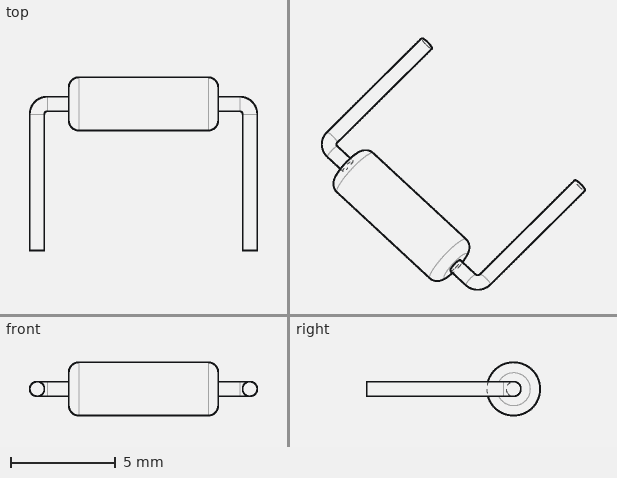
import cadquery as cq

span_x = 10.86
span_y = 8.28

body_diameter = 2.55
body_length = 7.14
body_edge_radius = 0.49

wire_diameter = 0.71
bend_radius = 0.49

body_radius = body_diameter / 2
wire_radius = wire_diameter / 2
leg_x = span_x / 2 - wire_radius
leg_end_y = body_radius - span_y
bend_start_x = leg_x - bend_radius


def make_body():
    """Cylinder centred on the origin with both end edges rounded."""
    left_end = cq.Workplane("YZ", origin=(-body_length / 2, 0, 0))
    cylinder = left_end.circle(body_radius).extrude(body_length)
    return cylinder.faces("<X or >X").edges().fillet(body_edge_radius)


def make_wire():
    """One continuous wire: leg, bend, straight run along the body axis, bend, leg."""
    path = (
        cq.Workplane("XY")
        .moveTo(-leg_x, leg_end_y)
        .lineTo(-leg_x, -bend_radius)
        .tangentArcPoint((-bend_start_x, 0), relative=False)
        .lineTo(bend_start_x, 0)
        .tangentArcPoint((leg_x, -bend_radius), relative=False)
        .lineTo(leg_x, leg_end_y)
    )
    leg_end = cq.Workplane("XZ", origin=(-leg_x, leg_end_y, 0))
    return leg_end.circle(wire_radius).sweep(path)


result = make_body().union(make_wire())